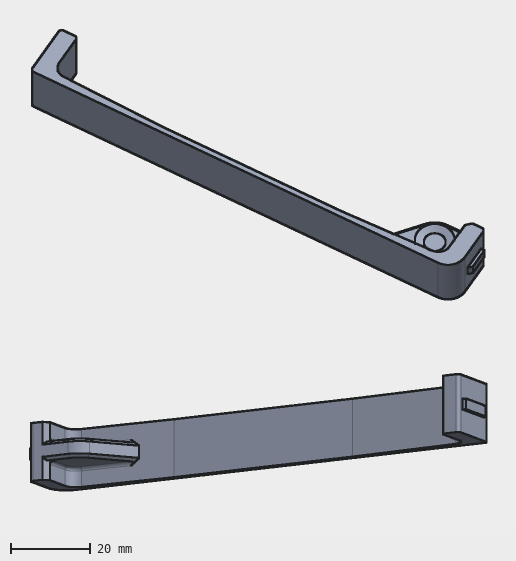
import cadquery as cq
import math

length = 126.0
depth = 15.0
height = 15.0
left_tab_reach = 0.9
right_tab_reach = 1.0
arm = 5.0
body_left = left_tab_reach
body_right = length - right_tab_reach
arm_inner_left = body_left + arm
arm_inner_right = body_right - arm
thick_web = 2.6
thin_web = 1.6
thin_start = 39.0
thin_end = 90.7
inner_radius = 3.2
outer_radius = 5.0
small_radius = 0.9
arm_tip_chamfer = 1.4

tab_height = 2.8
tab_top = 13.1
left_tab_bottom = 2.0
right_tab_bottom = 6.2

boss_x = 113.9
boss_y = 8.8
boss_radius = depth - boss_y
boss_thickness = 4.9
boss_bottom = (height - boss_thickness) / 2
boss_top = boss_bottom + boss_thickness
boss_toe_x = 100.3
boss_blend = 0.9
dish_radius = 5.0
dish_floor_radius = 2.8
dish_depth = 0.9


def make_body():
    """Return the bar and arms, extruded over the full height."""
    body = (
        cq.Workplane("XY")
        .moveTo(body_left, 0)
        .lineTo(body_right, 0)
        .lineTo(body_right, depth)
        .lineTo(arm_inner_right, depth)
        .lineTo(arm_inner_right, thick_web)
        .lineTo(thin_end, thin_web)
        .lineTo(thin_start, thin_web)
        .lineTo(arm_inner_left, thick_web)
        .lineTo(arm_inner_left, depth)
        .lineTo(body_left, depth)
        .close()
        .extrude(height)
    )

    def upright_edge(x, y):
        return cq.selectors.NearestToPointSelector((x, y, height / 2))

    rounded_corners = [
        (body_right, 0, outer_radius),
        (arm_inner_left, thick_web, inner_radius),
        (arm_inner_right, thick_web, inner_radius),
        (body_left, 0, small_radius),
        (body_left, depth, small_radius),
        (arm_inner_left, depth, small_radius),
        (body_right, depth, small_radius),
    ]
    for x, y, radius in rounded_corners:
        body = body.edges("|Z").edges(upright_edge(x, y)).fillet(radius)
    tip_edge = upright_edge(arm_inner_right, depth)
    return body.edges("|Z").edges(tip_edge).chamfer(arm_tip_chamfer)


def make_tab(face_x, reach, bottom):
    """Return a tab on an end face; its lower end slopes at 45 degrees."""
    outer_x = face_x + reach
    root_x = face_x - math.copysign(small_radius, reach)
    return (
        cq.Workplane("XY", origin=(0, 0, (height - tab_height) / 2))
        .polyline([
            (root_x, bottom),
            (face_x, bottom),
            (outer_x, bottom + abs(reach)),
            (outer_x, tab_top),
            (root_x, tab_top),
        ])
        .close()
        .extrude(tab_height)
    )


def make_boss():
    """Return the wedge-shaped boss, its sloping side tangent to the round end."""
    toe_dx = boss_x - boss_toe_x
    toe_dy = boss_y - thin_web
    toe_distance = math.hypot(toe_dx, toe_dy)
    slope = math.atan2(toe_dy, toe_dx) + math.asin(boss_radius / toe_distance)
    tangent_angle = slope + math.pi / 2
    middle_angle = (tangent_angle + math.pi / 2) / 2

    def on_round_end(angle):
        return (boss_x + boss_radius * math.cos(angle), boss_y + boss_radius * math.sin(angle))

    inside_x = arm_inner_right + arm / 2
    inside_y = thin_web / 2
    boss = (
        cq.Workplane("XY", origin=(0, 0, boss_bottom))
        .moveTo(boss_toe_x, thin_web)
        .lineTo(*on_round_end(tangent_angle))
        .threePointArc(on_round_end(middle_angle), (boss_x, depth))
        .lineTo(inside_x, depth)
        .lineTo(inside_x, inside_y)
        .lineTo(boss_toe_x, inside_y)
        .close()
        .extrude(boss_thickness)
    )
    return boss.faces("|Z").edges("not(<Y or >X)").chamfer(boss_blend)


def make_dish():
    """Return the conical recess in the top of the boss."""
    return (
        cq.Workplane("XY", origin=(boss_x, boss_y, boss_top - dish_depth))
        .circle(dish_floor_radius)
        .workplane(offset=dish_depth)
        .circle(dish_radius)
        .loft()
    )


def blend_boss(part):
    """Fillet the boss top and bottom into the inner walls of the bar and arm."""
    margin = 0.1
    toe_clearance = 2.5
    for z in (boss_bottom, boss_top):
        walls = cq.selectors.BoxSelector(
            (boss_toe_x + toe_clearance, thin_web, z - margin),
            (arm_inner_right + margin, thick_web + margin, z + margin),
        )
        part = part.edges(walls).fillet(boss_blend)
    return part


result = make_body().union(make_boss())
result = blend_boss(result)
result = result.cut(make_dish())
result = result.union(make_tab(body_left, -left_tab_reach, left_tab_bottom))
result = result.union(make_tab(body_right, right_tab_reach, right_tab_bottom))